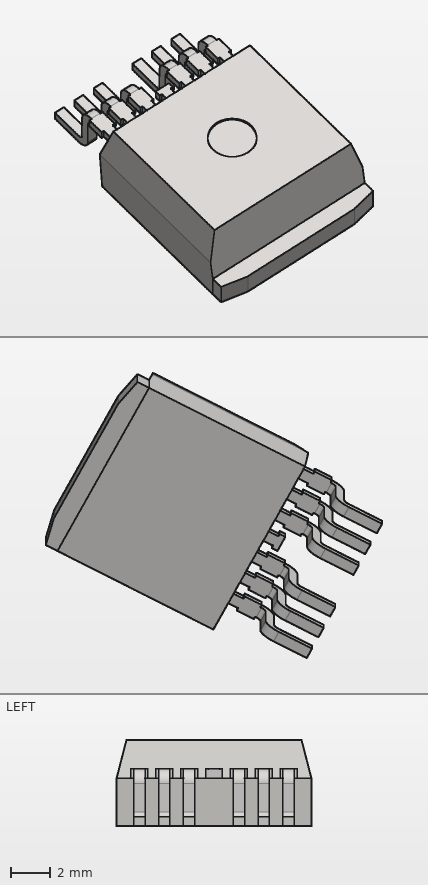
import cadquery as cq
import math

TOTAL_LENGTH = 15.0
TOTAL_WIDTH = 10.0
TOTAL_HEIGHT = 4.42

LEAD_THICKNESS = 0.5
LEAD_WIDTH = 0.58
LEAD_PITCH = 1.28
LEAD_SLOTS_PER_SIDE = 3
LEG_OUTER_X = 2.2
BEND_INNER_RADIUS = 0.25
SHOULDER_WIDTH = 0.87
SHOULDER_START_X = 3.0
SHOULDER_END_X = 3.99
STUB_START_X = 3.66

PARTING_HEIGHT = 2.45
HOUSING_BOTTOM_LEFT_X = 4.95
HOUSING_PARTING_LEFT_X = 4.75
HOUSING_TOP_LEFT_X = 5.25
HOUSING_TOP_RIGHT_X = 13.52
HOUSING_SIDE_INSET = 0.51
MARK_DIAMETER = 2.5
MARK_DEPTH = 0.1

TAB_START_X = 14.01
TAB_HEIGHT = 1.28
TAB_CORNER_LENGTH = 0.32
TAB_CORNER_WIDTH = 1.5

LEAD_TOP = PARTING_HEIGHT + LEAD_THICKNESS
LEG_INNER_X = LEG_OUTER_X + LEAD_THICKNESS
BEND_OUTER_RADIUS = BEND_INNER_RADIUS + LEAD_THICKNESS
LEAD_FACE_SLOPE = (HOUSING_TOP_LEFT_X - HOUSING_PARTING_LEFT_X) / (TOTAL_HEIGHT - PARTING_HEIGHT)
LEAD_TOP_END_X = HOUSING_PARTING_LEFT_X + LEAD_THICKNESS * LEAD_FACE_SLOPE


def extrude_side_profile(profile, width):
    """Extrude an XZ outline by the given width, centred on Y = 0."""
    return profile.close().extrude(width / 2, both=True)


def make_housing():
    """Moulded housing with sloping faces and a shallow round mark on top."""
    side_profile = cq.Workplane("XZ").polyline([
        (HOUSING_BOTTOM_LEFT_X, 0),
        (TAB_START_X, 0),
        (TAB_START_X, TAB_HEIGHT),
        (HOUSING_TOP_RIGHT_X, TOTAL_HEIGHT),
        (HOUSING_TOP_LEFT_X, TOTAL_HEIGHT),
        (HOUSING_PARTING_LEFT_X, PARTING_HEIGHT),
    ])
    half_width = TOTAL_WIDTH / 2
    half_top_width = half_width - HOUSING_SIDE_INSET
    end_profile = cq.Workplane("YZ").polyline([
        (-half_width, 0),
        (half_width, 0),
        (half_width, PARTING_HEIGHT),
        (half_top_width, TOTAL_HEIGHT),
        (-half_top_width, TOTAL_HEIGHT),
        (-half_width, PARTING_HEIGHT),
    ])
    housing = extrude_side_profile(side_profile, TOTAL_WIDTH)
    housing = housing.intersect(end_profile.close().extrude(TOTAL_LENGTH))

    mark_x = (HOUSING_TOP_LEFT_X + HOUSING_TOP_RIGHT_X) / 2
    mark = (
        cq.Workplane("XY", origin=(mark_x, 0, TOTAL_HEIGHT - MARK_DEPTH))
        .circle(MARK_DIAMETER / 2)
        .extrude(MARK_DEPTH)
    )
    return housing.cut(mark)


def make_tab():
    """Flat tab against the housing, with its two outer corners cut back."""
    half_width = TOTAL_WIDTH / 2
    half_end_width = half_width - TAB_CORNER_WIDTH
    corner_x = TOTAL_LENGTH - TAB_CORNER_LENGTH
    return (
        cq.Workplane("XY")
        .polyline([
            (TAB_START_X, -half_width),
            (corner_x, -half_width),
            (TOTAL_LENGTH, -half_end_width),
            (TOTAL_LENGTH, half_end_width),
            (corner_x, half_width),
            (TAB_START_X, half_width),
        ])
        .close()
        .extrude(TAB_HEIGHT)
    )


def make_shoulder(start_x):
    """Wide stretch of a lead, from start_x to the common shoulder end."""
    length = SHOULDER_END_X - start_x
    return (
        cq.Workplane("XY", origin=(start_x + length / 2, 0, PARTING_HEIGHT))
        .rect(length, SHOULDER_WIDTH)
        .extrude(LEAD_THICKNESS)
    )


def bend_middle(centre_x, centre_z, radius, angle_degrees):
    """Point at the middle of a bend arc, at the given angle around its centre."""
    angle = math.radians(angle_degrees)
    return (centre_x + radius * math.cos(angle), centre_z + radius * math.sin(angle))


def make_lead(y):
    """Gull-wing lead that ends flush on the sloping housing face."""
    upper_x = LEG_OUTER_X + BEND_OUTER_RADIUS
    upper_z = LEAD_TOP - BEND_OUTER_RADIUS
    lower_x = LEG_INNER_X - BEND_OUTER_RADIUS
    lower_z = BEND_OUTER_RADIUS
    profile = (
        cq.Workplane("XZ")
        .moveTo(0, 0)
        .lineTo(lower_x, 0)
        .threePointArc(bend_middle(lower_x, lower_z, BEND_OUTER_RADIUS, -45), (LEG_INNER_X, lower_z))
        .lineTo(LEG_INNER_X, upper_z)
        .threePointArc(bend_middle(upper_x, upper_z, BEND_INNER_RADIUS, 135), (upper_x, PARTING_HEIGHT))
        .lineTo(HOUSING_PARTING_LEFT_X, PARTING_HEIGHT)
        .lineTo(LEAD_TOP_END_X, LEAD_TOP)
        .lineTo(upper_x, LEAD_TOP)
        .threePointArc(bend_middle(upper_x, upper_z, BEND_OUTER_RADIUS, 135), (LEG_OUTER_X, upper_z))
        .lineTo(LEG_OUTER_X, lower_z)
        .threePointArc(bend_middle(lower_x, lower_z, BEND_INNER_RADIUS, -45), (lower_x, LEAD_THICKNESS))
        .lineTo(0, LEAD_THICKNESS)
    )
    lead = extrude_side_profile(profile, LEAD_WIDTH).union(make_shoulder(SHOULDER_START_X))
    return lead.translate((0, y, 0))


def make_stub():
    """Middle lead, cut short within its shoulder."""
    profile = cq.Workplane("XZ").polyline([
        (STUB_START_X, PARTING_HEIGHT),
        (HOUSING_PARTING_LEFT_X, PARTING_HEIGHT),
        (LEAD_TOP_END_X, LEAD_TOP),
        (STUB_START_X, LEAD_TOP),
    ])
    return extrude_side_profile(profile, LEAD_WIDTH).union(make_shoulder(STUB_START_X))


housing = make_housing()
tab = make_tab()
stub = make_stub()

leads = []
for slot in range(-LEAD_SLOTS_PER_SIDE, LEAD_SLOTS_PER_SIDE + 1):
    if slot != 0:
        leads.append(make_lead(slot * LEAD_PITCH))

result = cq.Compound.makeCompound([
    housing.val(),
    tab.val(),
    stub.val(),
    *[lead.val() for lead in leads],
])